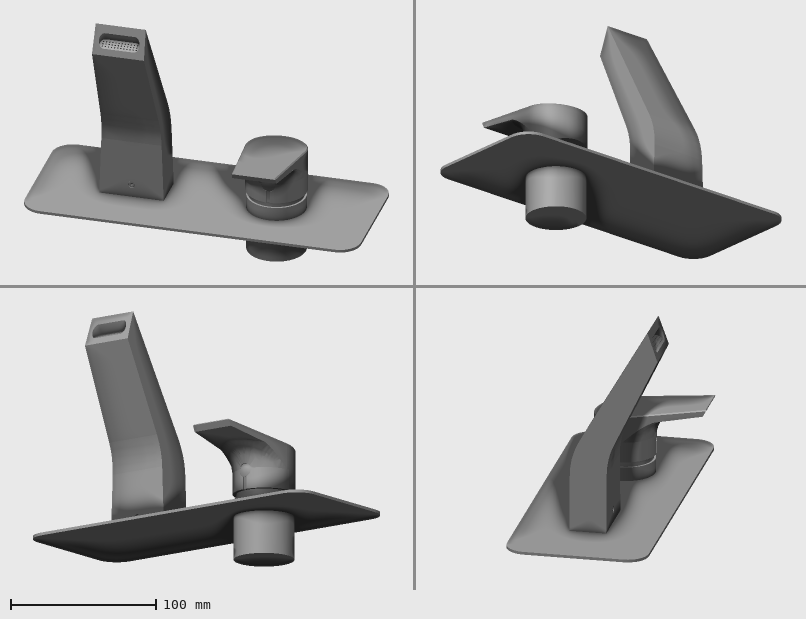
import cadquery as cq
import math


def sind(degrees):
    return math.sin(math.radians(degrees))


def cosd(degrees):
    return math.cos(math.radians(degrees))


def tand(degrees):
    return math.tan(math.radians(degrees))


def edges_near_height(z, reach):
    """Selects the edges that lie wholly at height z, within reach of the Z axis along X and Y."""
    margin = 0.5
    return cq.selectors.BoxSelector(
        (-reach, -reach, z - margin),
        (reach, reach, z + margin),
        boundingbox=True,
    )



plate_length = 240
plate_width = 100
plate_thickness = 2
plate_corner_radius = 15

badge_length = 21.5
badge_width = 4
badge_depth = 1
badge_y = -38

spout_x = -50
spout_half_width = 23
spout_side_draft = 2
spout_half_depth = 13
spout_bend_z = 56.2
spout_bend_radius = 50
spout_back_lean = 30
spout_front_lean = 25.7
spout_top_z = 149.63
spout_lip_z = 129.2

outlet_lean = (spout_back_lean + spout_front_lean) / 2
outlet_length = 29
outlet_width = 8
outlet_drop = 0.6
aerator_thickness = 6
jet_diameter = 1
jet_pitch = 2.2
jet_row_pitch = 2
jet_columns = 12
jet_rows = 3
jet_depth = 3

screw_z = 11.5
screw_diameter = 4.9
screw_chamfer = 0.35
screw_length = 8
screw_recess = 0.5
screw_socket_flats = 2
screw_socket_depth = 2.5

valve_x = 50
valve_diameter = 42
valve_bottom_z = -30
valve_shoulder_z = 12
dome_radius = 19.5

handle_radius = 21.7
handle_bottom_z = 16
handle_back_z = 21.7
handle_bevel_angle = 18
lever_reach = 60.01
lever_tip_z = 56.8
lever_tip_half_width = 15.5
lever_top_slope = 7.5
lever_under_slope = 9.8
lever_tip_height = 4.9
lever_tip_undercut = 2.7
lever_blend_radius = 18
lever_rim_chamfer = 0.8
blend_outer_radius = 40

button_z = 29.5
button_diameter = 9.5
button_depth = 3
button_edge_y = -21.1
button_crown = 0.8
groove_width = 2.9
groove_depth = 1


def make_valve_body():
    sleeve = (
        cq.Workplane("XY", origin=(valve_x, 0, valve_bottom_z))
        .circle(valve_diameter / 2)
        .extrude(valve_shoulder_z - valve_bottom_z)
    )
    return sleeve.union(make_dome())


def make_dome():
    """Half ball standing on the shoulder of the valve body."""
    ball = cq.Workplane("XY", origin=(valve_x, 0, valve_shoulder_z)).sphere(dome_radius)
    upper_half = (
        cq.Workplane("XY", origin=(valve_x, 0, valve_shoulder_z))
        .rect(3 * dome_radius, 3 * dome_radius)
        .extrude(2 * dome_radius)
    )
    return ball.intersect(upper_half)


def make_badge():
    return (
        cq.Workplane("XY", origin=(0, badge_y, plate_thickness))
        .rect(badge_length, badge_width)
        .extrude(-badge_depth)
    )


def make_plate(badge):
    plate = (
        cq.Workplane("XY")
        .rect(plate_length, plate_width)
        .extrude(plate_thickness)
        .edges("|Z")
        .fillet(plate_corner_radius)
    )
    valve_hole = (
        cq.Workplane("XY")
        .center(valve_x, 0)
        .circle(valve_diameter / 2)
        .extrude(plate_thickness)
    )
    return plate.cut(valve_hole).cut(badge)


spout_top_y = spout_half_depth - (spout_top_z - spout_bend_z) * tand(spout_back_lean)
spout_lip_y = -spout_half_depth - (spout_lip_z - spout_bend_z) * tand(spout_front_lean)

outlet_normal = (0, -sind(outlet_lean), cosd(outlet_lean))
face_angle = math.degrees(math.atan2(spout_top_z - spout_lip_z, spout_top_y - spout_lip_y))
outlet_z = (spout_top_z + spout_lip_z) / 2 - outlet_drop
outlet_y = (spout_top_y + spout_lip_y) / 2 - outlet_drop / tand(face_angle)
outlet_origin = (spout_x, outlet_y, outlet_z)
outlet_depth = outlet_width / 2 * tand(face_angle - outlet_lean)


def outlet_plane(offset):
    """Plane across the outlet axis, offset outwards from the middle of the outlet face."""
    plane = cq.Plane(origin=outlet_origin, xDir=(1, 0, 0), normal=outlet_normal)
    return cq.Workplane(plane).workplane(offset=offset)


def make_spout_blank():
    side_shape = (
        cq.Workplane("YZ")
        .moveTo(-spout_half_depth, plate_thickness)
        .lineTo(spout_half_depth, plate_thickness)
        .lineTo(spout_half_depth, spout_bend_z)
        .lineTo(spout_top_y, spout_top_z)
        .lineTo(spout_lip_y, spout_lip_z)
        .lineTo(-spout_half_depth, spout_bend_z)
        .close()
        .extrude(spout_half_width, both=True)
        .edges(edges_near_height(spout_bend_z, 2 * spout_half_depth))
        .fillet(spout_bend_radius)
        .translate((spout_x, 0, 0))
    )
    rise = spout_top_z - plate_thickness
    top_half_width = spout_half_width - rise * tand(spout_side_draft)
    front_shape = (
        cq.Workplane("XZ", origin=(spout_x, 0, plate_thickness))
        .polyline([
            (-spout_half_width, 0),
            (spout_half_width, 0),
            (top_half_width, rise),
            (-top_half_width, rise),
        ])
        .close()
        .extrude(spout_top_z, both=True)
    )
    return side_shape.intersect(front_shape)


def make_outlet_slot():
    bottom = -outlet_depth - aerator_thickness
    return outlet_plane(bottom).slot2D(outlet_length, outlet_width).extrude(3 * outlet_width)


def make_aerator():
    plug = outlet_plane(-outlet_depth).slot2D(outlet_length, outlet_width).extrude(-aerator_thickness)
    jets = (
        outlet_plane(-outlet_depth)
        .rarray(jet_pitch, jet_row_pitch, jet_columns, jet_rows)
        .circle(jet_diameter / 2)
        .extrude(-jet_depth)
    )
    return plug.cut(jets)


def make_screw():
    front_y = -spout_half_depth + screw_recess
    front = cq.Workplane("XZ", origin=(spout_x, front_y, screw_z))
    socket_corners = screw_socket_flats / cosd(30)
    socket = front.polygon(6, socket_corners).extrude(-screw_socket_depth)
    shank = front.circle(screw_diameter / 2).extrude(-screw_length).faces("<Y").chamfer(screw_chamfer)
    return shank.cut(socket)


def make_screw_hole():
    return (
        cq.Workplane("XZ", origin=(spout_x, -spout_half_depth, screw_z))
        .circle(screw_diameter / 2)
        .extrude(-screw_recess - screw_length)
    )


def make_spout():
    return make_spout_blank().cut(make_outlet_slot()).cut(make_screw_hole())


tip_face_length = math.hypot(lever_tip_undercut, lever_tip_height)
sharp_reach = lever_reach + lever_rim_chamfer * lever_tip_undercut / tip_face_length
tip_bottom_y = -sharp_reach + lever_tip_undercut
tip_bottom_z = lever_tip_z - lever_tip_height
lever_root_z = tip_bottom_z - (-handle_radius - tip_bottom_y) * tand(lever_under_slope)
top_axis_z = lever_tip_z - sharp_reach * tand(lever_top_slope)


def make_handle_plan():
    """Upright prism: round at the back, tapering to the lever tip on lines tangent to the round."""
    tip_distance = math.hypot(lever_tip_half_width, sharp_reach)
    tangent_angle = math.acos(handle_radius / tip_distance) - math.atan2(sharp_reach, lever_tip_half_width)
    tangent_x = handle_radius * math.cos(tangent_angle)
    tangent_y = handle_radius * math.sin(tangent_angle)
    return (
        cq.Workplane("XY")
        .moveTo(-lever_tip_half_width, -sharp_reach)
        .lineTo(lever_tip_half_width, -sharp_reach)
        .lineTo(tangent_x, tangent_y)
        .threePointArc((0, handle_radius), (-tangent_x, tangent_y))
        .close()
        .extrude(2 * lever_tip_z)
    )


def make_handle_barrel():
    """Round barrel that flares out with a hollow blend into the underside of the lever."""
    flare_z = lever_root_z + (blend_outer_radius - handle_radius) * tand(lever_under_slope)
    return (
        cq.Workplane("XZ")
        .polyline([
            (0, handle_bottom_z),
            (handle_radius, handle_bottom_z),
            (handle_radius, lever_root_z),
            (blend_outer_radius, flare_z),
            (blend_outer_radius, 2 * lever_tip_z),
            (0, 2 * lever_tip_z),
        ])
        .close()
        .revolve(360, (0, 0), (0, 1))
        .edges(edges_near_height(lever_root_z, (handle_radius + blend_outer_radius) / 2))
        .fillet(lever_blend_radius)
    )


def make_lever_blade():
    return (
        cq.Workplane("YZ")
        .polyline([
            (0, top_axis_z),
            (-sharp_reach, lever_tip_z),
            (tip_bottom_y, tip_bottom_z),
            (-handle_radius, lever_root_z),
            (0, lever_root_z),
        ])
        .close()
        .extrude(handle_radius, both=True)
    )


def make_handle_side_shape():
    """Region under the sloping top, and above the bevel that clears the back of the handle."""
    top_back_z = top_axis_z - handle_radius * tand(lever_top_slope)
    bevel_run = (handle_back_z - handle_bottom_z) / tand(handle_bevel_angle)
    return (
        cq.Workplane("YZ")
        .polyline([
            (handle_radius, top_back_z),
            (-sharp_reach, lever_tip_z),
            (-sharp_reach, handle_bottom_z),
            (handle_radius - bevel_run, handle_bottom_z),
            (handle_radius, handle_back_z),
        ])
        .close()
        .extrude(2 * handle_radius, both=True)
    )


def make_button():
    """Short round plug, its face a shallow ball cap."""
    radius = button_diameter / 2
    crown_radius = (radius ** 2 + button_crown ** 2) / (2 * button_crown)
    mid_drop = crown_radius - math.sqrt(crown_radius ** 2 - (radius / 2) ** 2)
    return (
        cq.Workplane("XY")
        .moveTo(0, button_depth)
        .lineTo(radius, button_depth)
        .lineTo(radius, 0)
        .threePointArc((radius / 2, mid_drop - button_crown), (0, -button_crown))
        .close()
        .revolve(360, (0, 0), (0, 1))
        .translate((valve_x, button_edge_y, button_z))
    )


def make_button_hole():
    return (
        cq.Workplane("XZ", origin=(valve_x, button_edge_y + button_depth, button_z))
        .circle(button_diameter / 2)
        .extrude(button_depth + handle_radius)
    )


def make_groove():
    return (
        cq.Workplane("XY", origin=(valve_x, -handle_radius, handle_bottom_z))
        .rect(groove_width, 2 * groove_depth)
        .extrude(button_z - handle_bottom_z)
    )


def make_handle():
    top_normal = cq.Vector(0, sind(lever_top_slope), cosd(lever_top_slope))
    outside = (
        make_handle_barrel()
        .intersect(make_handle_side_shape())
        .union(make_lever_blade())
        .intersect(make_handle_plan())
        .faces(cq.selectors.DirectionMinMaxSelector(top_normal))
        .edges()
        .chamfer(lever_rim_chamfer)
        .translate((valve_x, 0, 0))
    )
    return outside.cut(make_dome()).cut(make_button_hole()).cut(make_groove())


badge = make_badge()
plate = make_plate(badge)
spout = make_spout()
aerator = make_aerator()
screw = make_screw()
valve_body = make_valve_body()
handle = make_handle()
button = make_button()

result = cq.Compound.makeCompound([
    plate.val(),
    badge.val(),
    spout.val(),
    aerator.val(),
    screw.val(),
    valve_body.val(),
    handle.val(),
    button.val(),
])